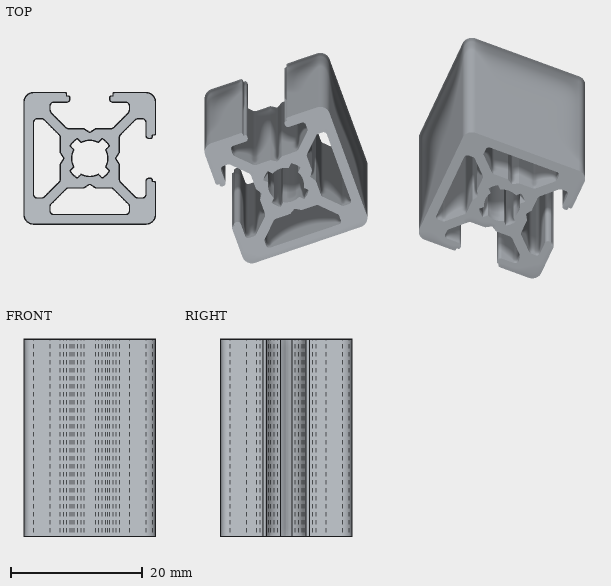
import cadquery as cq
import math

LENGTH = 30.0
SIDE = 20.0
HALF_SIDE = SIDE / 2
CORNER_RADIUS = 1.5

WALL = 1.5
WEB = 1.5
HUB_HALF = 4.5
CAVITY_HALF_WIDTH = 6.0
CAVITY_FILLET = 0.5
CLOSED_WEB_FILLET = 0.5
OPEN_WEB_FILLET = 0.75
GROOVE_HALF_WIDTH = 0.9
GROOVE_DEPTH = 0.57
GROOVE_FILLET = 0.2

MOUTH_HALF_WIDTH = 3.0
STEP_HALF_WIDTH = 3.5
STEP_DEPTH = 0.5
STEP_FILLET = 0.3
SHOULDER_FILLET = 0.25
LIP_FILLET = 0.5

BORE_RADIUS = 2.73
LOBE_RADIUS = 3.55
LOBE_WIDTH = 1.55

TOLERANCE = 0.003

OPEN_SIDES = (0, -90)
CLOSED_SIDES = (90, 180)

CAVITY_TOP = HALF_SIDE - WALL
WEB_OFFSET = WEB / math.sqrt(2)


def turned(body, angle):
    """Copy of the body turned about the long axis."""
    return body.rotate((0, 0, 0), (0, 0, 1), angle)


def edges_at(half_width, y):
    """Selector for the pair of long edges at (+-half_width, y)."""
    left, right = (
        cq.selectors.BoxSelector((x - TOLERANCE, y - TOLERANCE, 0), (x + TOLERANCE, y + TOLERANCE, LENGTH))
        for x in (-half_width, half_width)
    )
    return left + right


def groove():
    """V groove in the +Y face of the hub, rounded at its bottom."""
    outline = [
        (-GROOVE_HALF_WIDTH, HUB_HALF),
        (0, HUB_HALF - GROOVE_DEPTH),
        (GROOVE_HALF_WIDTH, HUB_HALF),
    ]
    body = cq.Workplane("XY").polyline(outline).close().extrude(LENGTH)
    return body.edges("|Z and <Y").fillet(GROOVE_FILLET)


def cavity(web_fillet):
    """Hollow on the +Y side, narrowing between the webs towards the hub."""
    hub_half_width = HUB_HALF - WEB_OFFSET
    web_end = CAVITY_HALF_WIDTH + WEB_OFFSET
    outline = [
        (-CAVITY_HALF_WIDTH, CAVITY_TOP),
        (-CAVITY_HALF_WIDTH, web_end),
        (-hub_half_width, HUB_HALF),
        (hub_half_width, HUB_HALF),
        (CAVITY_HALF_WIDTH, web_end),
        (CAVITY_HALF_WIDTH, CAVITY_TOP),
    ]
    body = cq.Workplane("XY").polyline(outline).close().extrude(LENGTH)
    body = body.edges(edges_at(hub_half_width, HUB_HALF)).fillet(web_fillet)
    body = body.edges(edges_at(CAVITY_HALF_WIDTH, web_end)).fillet(web_fillet)
    body = body.edges(edges_at(CAVITY_HALF_WIDTH, CAVITY_TOP)).fillet(CAVITY_FILLET)
    return body.union(groove())


def mouth():
    """Stepped opening that joins the +Y cavity to the outside."""
    step_floor = HALF_SIDE - STEP_DEPTH
    return (
        cq.Workplane("XY")
        .moveTo(-MOUTH_HALF_WIDTH, HUB_HALF)
        .lineTo(MOUTH_HALF_WIDTH, HUB_HALF)
        .lineTo(MOUTH_HALF_WIDTH, step_floor)
        .lineTo(STEP_HALF_WIDTH, step_floor)
        .lineTo(STEP_HALF_WIDTH, HALF_SIDE)
        .lineTo(-STEP_HALF_WIDTH, HALF_SIDE)
        .lineTo(-STEP_HALF_WIDTH, step_floor)
        .lineTo(-MOUTH_HALF_WIDTH, step_floor)
        .close()
        .extrude(LENGTH)
    )


def open_slot():
    """Cavity and mouth as one T-slot, with the lip corners rounded."""
    slot = cavity(OPEN_WEB_FILLET).union(mouth())
    slot = slot.edges(edges_at(MOUTH_HALF_WIDTH, CAVITY_TOP)).fillet(LIP_FILLET)
    return slot.edges(edges_at(MOUTH_HALF_WIDTH, HALF_SIDE - STEP_DEPTH)).fillet(STEP_FILLET)


def bore():
    """Round bore widened by diagonal lobes."""
    lobe_limit = cq.Workplane("XY").circle(LOBE_RADIUS).extrude(LENGTH)
    bar = cq.Workplane("XY").rect(2 * SIDE, LOBE_WIDTH).extrude(LENGTH)
    hole = cq.Workplane("XY").circle(BORE_RADIUS).extrude(LENGTH)
    for angle in (45, -45):
        hole = hole.union(turned(bar, angle).intersect(lobe_limit))
    return hole


def round_shoulders(body):
    """Round the outer corners of the mouth on the +Y side."""
    return body.edges(edges_at(STEP_HALF_WIDTH, HALF_SIDE)).fillet(SHOULDER_FILLET)


result = cq.Workplane("XY").rect(SIDE, SIDE).extrude(LENGTH)
result = result.edges("|Z").fillet(CORNER_RADIUS)
result = result.cut(bore())
for angle in CLOSED_SIDES:
    result = result.cut(turned(cavity(CLOSED_WEB_FILLET), angle))
for angle in OPEN_SIDES:
    facing_y = turned(result, -angle).cut(open_slot())
    result = turned(round_shoulders(facing_y), angle)